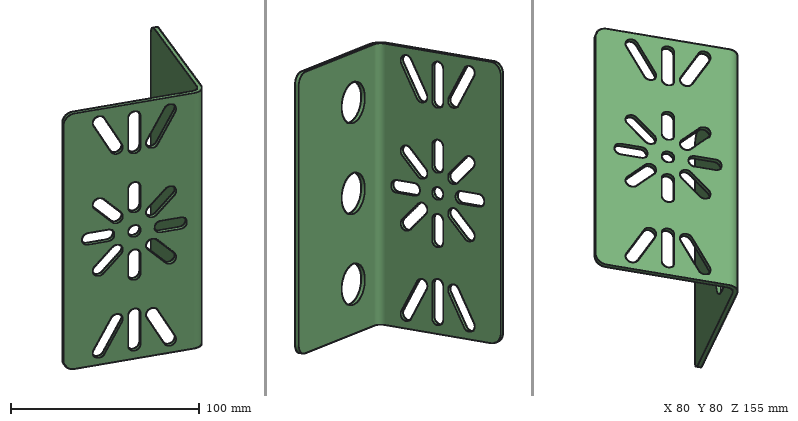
import cadquery as cq

height = 155.0
leg = 80.0
thickness = 2.5
bend_outer_radius = 6.5
bend_inner_radius = bend_outer_radius - thickness
corner_radius = 6.0

hole_diameter = 22.5
hole_pitch = 50.0
hole_from_bend = 27.0

slot_width = 7.0
straight_slot_travel = 11.3
straight_slot_distance = 20.5
diagonal_inner = 10.0
diagonal_outer = 20.0
end_slot_travel = 18.5
end_slot_distance = 59.8
end_slant_inner_height = 52.1
end_slant_outer_height = 69.8


def make_bracket():
    """Bent L-shaped sheet with rounded free corners."""
    body = (
        cq.Workplane("XY")
        .moveTo(-leg, 0)
        .lineTo(0, 0)
        .lineTo(0, -leg)
        .lineTo(-thickness, -leg)
        .lineTo(-thickness, -thickness)
        .lineTo(-leg, -thickness)
        .close()
        .extrude(height / 2, both=True)
    )
    outer_bend = cq.selectors.NearestToPointSelector((0, 0, 0))
    inner_bend = cq.selectors.NearestToPointSelector((-thickness, -thickness, 0))
    body = body.edges(outer_bend).fillet(bend_outer_radius)
    body = body.edges(inner_bend).fillet(bend_inner_radius)
    body = body.faces("<X").edges("|Y").fillet(corner_radius)
    return body.faces("<Y").edges("|X").fillet(corner_radius)


def make_round_holes():
    """Cutters for the row of round holes, spaced along Z."""
    centers = [(-hole_from_bend, row * hole_pitch) for row in (-1, 0, 1)]
    return (
        cq.Workplane("XZ")
        .pushPoints(centers)
        .circle(hole_diameter / 2)
        .extrude(2 * thickness, both=True)
    )


def make_slot(start, end):
    """Slot cutter between two end-arc centres, given as (Y, Z) from the leg centre."""
    y_start, z_start = start
    y_end, z_end = end
    path = cq.Vector(y_end - y_start, z_end - z_start, 0)
    side = cq.Vector(-path.y, path.x, 0).normalized() * (slot_width / 2)
    tip = path.normalized() * (slot_width / 2)
    return (
        cq.Workplane("YZ", origin=(0, -leg / 2, 0))
        .moveTo(y_start + side.x, z_start + side.y)
        .threePointArc((y_start - tip.x, z_start - tip.y), (y_start - side.x, z_start - side.y))
        .lineTo(y_end - side.x, z_end - side.y)
        .threePointArc((y_end + tip.x, z_end + tip.y), (y_end + side.x, z_end + side.y))
        .close()
        .extrude(2 * thickness, both=True)
    )


def make_slot_pattern():
    """Central hole, eight slots around it, and a fan of three slots near each end."""
    straight_inner = straight_slot_distance - straight_slot_travel / 2
    straight_outer = straight_slot_distance + straight_slot_travel / 2
    end_inner = end_slot_distance - end_slot_travel / 2
    end_outer = end_slot_distance + end_slot_travel / 2

    cutters = (
        cq.Workplane("YZ", origin=(0, -leg / 2, 0))
        .circle(slot_width / 2)
        .extrude(2 * thickness, both=True)
    )
    for sign in (-1, 1):
        cutters = cutters.add(make_slot((sign * straight_inner, 0), (sign * straight_outer, 0)))
        cutters = cutters.add(make_slot((0, sign * straight_inner), (0, sign * straight_outer)))
        cutters = cutters.add(make_slot((0, sign * end_inner), (0, sign * end_outer)))
        for side in (-1, 1):
            inner = side * diagonal_inner
            outer = side * diagonal_outer
            cutters = cutters.add(
                make_slot((inner, sign * diagonal_inner), (outer, sign * diagonal_outer))
            )
            cutters = cutters.add(
                make_slot((inner, sign * end_slant_inner_height), (outer, sign * end_slant_outer_height))
            )
    return cutters.combine()


result = make_bracket().cut(make_round_holes()).cut(make_slot_pattern())